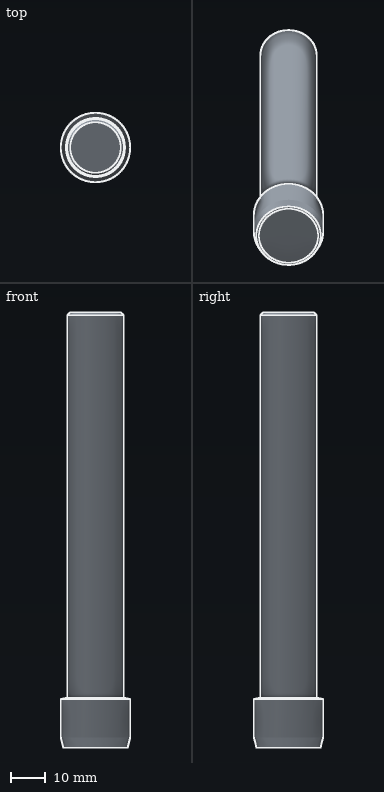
import cadquery as cq

total_length = 125.0
collar_radius = 10.0

shank_radius = 8.1
root_radius = 8.5
pin_chamfer = 0.9

collar_height = 14.4
foot_height = 3.0
foot_inset = 0.8

cone_rise = 0.4
cone_slope = cone_rise / (collar_radius - shank_radius)


def cone_height(radius):
    """Height of the shallow top cone at a given radius."""
    return collar_height - cone_slope * (radius - shank_radius)


def revolve_about_z(profile):
    """Turn a closed XZ half-profile into a solid of revolution."""
    return profile.revolve(360, (0, 0, 0), (0, 1, 0))


def make_pin():
    """Full-length pin: thicker root, conical step, shank and chamfered end."""
    profile = (
        cq.Workplane("XZ")
        .lineTo(root_radius, 0)
        .lineTo(root_radius, cone_height(root_radius))
        .lineTo(shank_radius, cone_height(shank_radius))
        .lineTo(shank_radius, total_length - pin_chamfer)
        .lineTo(shank_radius - pin_chamfer, total_length)
        .lineTo(0, total_length)
        .close()
    )
    return revolve_about_z(profile)


def make_collar():
    """Sleeve around the pin root, with a tapered foot and a conical top."""
    profile = (
        cq.Workplane("XZ")
        .moveTo(root_radius, 0)
        .lineTo(collar_radius - foot_inset, 0)
        .lineTo(collar_radius, foot_height)
        .lineTo(collar_radius, cone_height(collar_radius))
        .lineTo(root_radius, cone_height(root_radius))
        .close()
    )
    return revolve_about_z(profile)


pin = make_pin()
collar = make_collar()

result = cq.Compound.makeCompound([pin.val(), collar.val()])